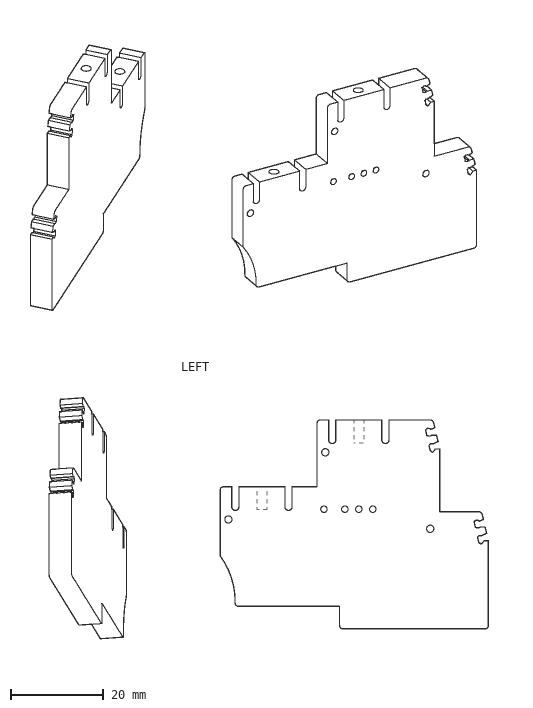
import cadquery as cq

thickness = 5.0
length = 58.0
height = 45.2

rear_top = 30.75
front_top = 25.35
tower_rear = 37.05
tower_front = 10.5
foot_rear = 32.2
body_bottom = 4.9
corner_radius = 0.75

sweep_top = 15.8
sweep_radius = 16.55
sweep_bottom_y = 54.8

slot_width = 1.5
slot_depth = 5.1
slot_offsets = (3.3, 14.8)
screw_offset = sum(slot_offsets) / 2
screw_diameter = 2.15
screw_depth = 5.0

test_hole_diameter = 1.55
test_hole_centers = ((56.2, 23.65), (35.25, 38.15), (12.6, 21.65))
pin_hole_diameter = 1.4
pin_hole_z = 25.85
pin_hole_ys = (35.55, 31.05, 28.0, 25.0)
side_hole_depth = 1.75

latch_nose_start = (2.15, 0)
latch_nose_middle = (1.6, 0.2)
latch_points = (
    (1.35, 0.65), (1.05, 1.7),
    (2.0, 2.1), (2.2, 1.9), (2.65, 1.85), (3.1, 2.15),
    (2.8, 3.4), (2.05, 3.5), (1.8, 3.3), (0.7, 3.3),
    (0.35, 4.7),
    (1.45, 5.2), (2.1, 5.2), (2.3, 5.55),
    (2.05, 6.7), (1.55, 7.0), (0.9, 6.25), (0, 6.25),
)


def side_plane():
    """Sketch plane on the -X side face; its local axes are Y and Z."""
    return cq.Workplane("YZ", origin=(-thickness / 2, 0, 0))


def add_latch(outline, wall_y, top_z):
    """Continue the outline from the terrace top down the toothed latch edge to the wall."""
    def place(point):
        return (wall_y + point[0], top_z - point[1])

    outline = outline.lineTo(*place(latch_nose_start))
    outline = outline.threePointArc(place(latch_nose_middle), place(latch_points[0]))
    for point in latch_points[1:]:
        outline = outline.lineTo(*place(point))
    return outline


def make_body():
    outline = side_plane().moveTo(foot_rear, 0)
    outline = outline.lineTo(foot_rear, body_bottom).lineTo(sweep_bottom_y, body_bottom)
    outline = outline.radiusArc((length, sweep_top), sweep_radius)
    outline = outline.lineTo(length, rear_top).lineTo(tower_rear, rear_top).lineTo(tower_rear, height)
    outline = add_latch(outline, tower_front, height)
    outline = outline.lineTo(tower_front, front_top)
    outline = add_latch(outline, 0, front_top)
    return outline.lineTo(0, 0).close().extrude(thickness)


def round_corners(body):
    corners = (
        (0, 0), (foot_rear, 0), (sweep_bottom_y, body_bottom), (length, rear_top), (tower_rear, height),
    )
    for y, z in corners:
        body = body.edges(cq.NearestToPointSelector((0, y, z))).fillet(corner_radius)
    return body


def make_slot(center_y, top_z):
    half_width = slot_width / 2
    floor_z = top_z - slot_depth
    outline = side_plane().moveTo(center_y - half_width, top_z)
    outline = outline.lineTo(center_y - half_width, floor_z + half_width)
    outline = outline.threePointArc((center_y, floor_z), (center_y + half_width, floor_z + half_width))
    return outline.lineTo(center_y + half_width, top_z).close().extrude(thickness)


def make_screw_hole(center_y, top_z):
    return cq.Workplane("XY", origin=(0, center_y, top_z)).circle(screw_diameter / 2).extrude(-screw_depth)


def make_side_holes(centers, diameter):
    return side_plane().pushPoints(centers).circle(diameter / 2).extrude(side_hole_depth)


result = round_corners(make_body())

for rear_wall, terrace_top in ((length, rear_top), (tower_rear, height)):
    for offset in slot_offsets:
        result = result.cut(make_slot(rear_wall - offset, terrace_top))
    result = result.cut(make_screw_hole(rear_wall - screw_offset, terrace_top))

result = result.cut(make_side_holes(test_hole_centers, test_hole_diameter))
result = result.cut(make_side_holes([(y, pin_hole_z) for y in pin_hole_ys], pin_hole_diameter))